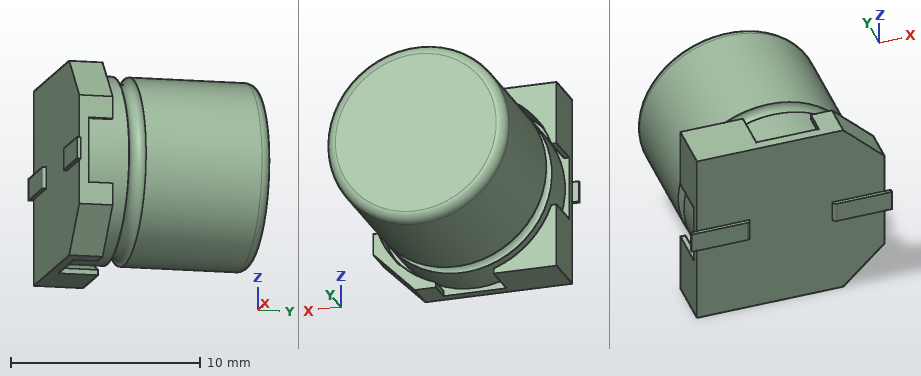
import cadquery as cq


overall_length = 11.2
overall_height = 10.71

lead_thickness = 0.2
lead_length = 3.28
lead_width = 1.15
lead_end_radius = 0.18

base_side = 10.5
base_chamfer = 2.32
floor_thickness = 0.53
tall_post_height = 2.68
short_post_height = 1.81
notch_width = base_side / 3

can_diameter = 10.05
can_radius = can_diameter / 2
can_top = overall_height - lead_thickness
seat_clearance = 0.25
can_top_fillet = 0.54
groove_radius = 0.46
groove_center_height = 3.23


def along_y(start):
    """Workplane at y = start that extrudes toward +Y, with local axes X and -Z."""
    return cq.Workplane("XZ", origin=(0, start, 0)).transformed(rotate=(180, 0, 0))


def make_base():
    """Square base with two chamfered corners and four posts around the can."""
    base = along_y(0).rect(base_side, base_side).extrude(tall_post_height)
    base = base.edges("|Y and >X").chamfer(base_chamfer)

    post_step = along_y(short_post_height).center(base_side / 4, 0)
    base = base.cut(post_step.rect(base_side / 2, base_side).extrude(tall_post_height))

    above_floor = along_y(floor_thickness)
    base = base.cut(above_floor.rect(base_side, notch_width).extrude(tall_post_height))
    base = base.cut(above_floor.rect(notch_width, base_side).extrude(tall_post_height))
    return base.cut(above_floor.circle(can_radius + seat_clearance).extrude(tall_post_height))


def make_can():
    """Round can with a rounded top rim and a half-round groove above the base."""
    can = along_y(floor_thickness).circle(can_radius).extrude(can_top - floor_thickness)
    can = can.faces(">Y").edges().fillet(can_top_fillet)
    groove = cq.Solid.makeTorus(
        can_radius, groove_radius, cq.Vector(0, groove_center_height, 0), cq.Vector(0, 1, 0)
    )
    return can.cut(cq.Workplane(groove))


def make_lead(side):
    """Flat lead under the base; side is -1 or 1 along X."""
    inner_end = overall_length / 2 - lead_length
    center_x = side * (overall_length / 2 + inner_end) / 2
    lead = along_y(-lead_thickness).center(center_x, 0).rect(lead_length, lead_width).extrude(lead_thickness)

    inner_face = "<X" if side > 0 else ">X"
    return lead.faces(inner_face).edges("<Y").fillet(lead_end_radius)


base = make_base()
can = make_can()
leads = [make_lead(side) for side in (-1, 1)]

result = cq.Compound.makeCompound([base.val(), can.val(), *[lead.val() for lead in leads]])